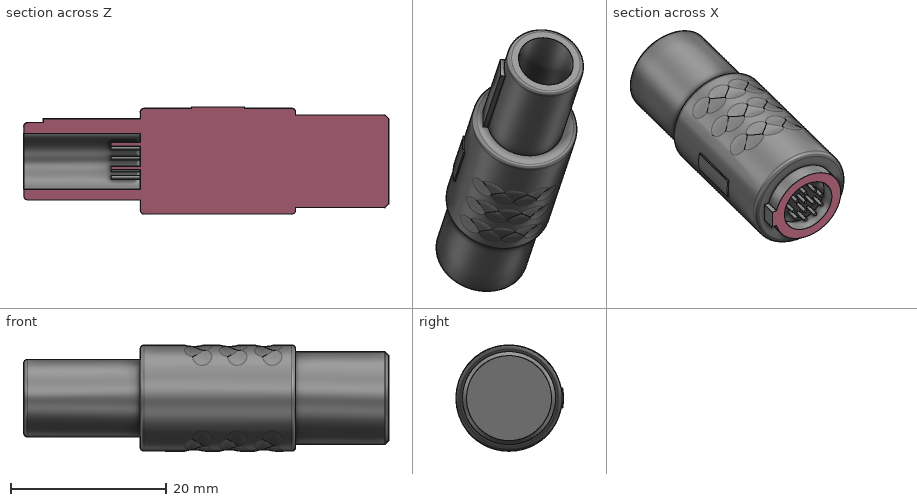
import cadquery as cq
import math


total_length = 47.0
nose_radius = 10.0 / 2
grip_radius = 13.7 / 2
tail_radius = 12.0 / 2
grip_start = 15.0
grip_end = 35.0
edge_rounding = 0.5
tail_chamfer = 0.5

key_start = 2.5
key_top = 5.5
key_width = 2.5
key_embed = 0.95

bore_radius = 3.55
bore_depth = grip_start
pin_radius = 0.25
pin_tip_rounding = 0.1
pin_length = 3.75
pin_root = 0.45
outer_pin_count = 9
outer_pin_circle = 2.2
inner_pin_count = 3
inner_pin_circle = 0.85

scoop_depth = 0.2
scoop_cutter_radius = 4.25
scoop_cutter_length = 4.7
scoop_pitch_angle = 25.6
scoop_group_start = 21.95
scoop_group_pitch = 4.5
scoop_group_count = 3
scoop_stagger = 1.05
front_column_angles = [scoop_pitch_angle * step for step in (-1, 0, 1)]
rear_column_angles = [scoop_pitch_angle * step for step in (-1.5, -0.5, 0.5, 1.5)]

pad_height = 0.2
pad_length = 6.85
pad_width = 2.6


def rod(radius, start, end, y=0.0, z=0.0):
    """Solid cylinder parallel to X between two X positions."""
    return cq.Workplane("YZ", origin=(start, y, z)).circle(radius).extrude(end - start)


def make_body():
    """Stepped round body with rounded nose and grip edges and a chamfered tail."""
    nose = rod(nose_radius, 0, grip_end).faces("<X").edges().fillet(edge_rounding)
    grip = rod(grip_radius, grip_start, grip_end).edges().fillet(edge_rounding)
    tail = rod(tail_radius, grip_start + edge_rounding, total_length)
    tail = tail.faces(">X").edges().chamfer(tail_chamfer)
    return nose.union(grip).union(tail)


def make_key():
    """Rectangular key running from near the nose tip into the grip."""
    key_length = grip_start + edge_rounding - key_start
    key_root = nose_radius - key_embed
    return cq.Workplane("XY").box(
        key_length, key_top - key_root, key_width, centered=(False, False, True)
    ).translate((key_start, key_root, 0))


def make_label_pad():
    """Low pad that follows the grip's curve."""
    middle = (grip_start + grip_end) / 2
    pad = rod(grip_radius + pad_height, middle - pad_length / 2, middle + pad_length / 2)
    window = cq.Workplane("XY").box(
        pad_length, grip_radius + pad_height, pad_width, centered=(True, False, True)
    ).translate((middle, 0, 0))
    return pad.intersect(window)


def make_scoop(x, angle):
    """Cutter lying across the grip; the angle is measured about X from the top."""
    axis_height = grip_radius - scoop_depth + scoop_cutter_radius
    cutter = (
        cq.Workplane("XZ", origin=(x, scoop_cutter_length / 2, axis_height))
        .circle(scoop_cutter_radius)
        .extrude(scoop_cutter_length)
    )
    return cutter.rotate((0, 0, 0), (1, 0, 0), angle)


def cut_scoops(body):
    """Cut groups of two staggered scoop columns, on the top and on the bottom."""
    for side_angle in (0, 180):
        for group in range(scoop_group_count):
            front_x = scoop_group_start + group * scoop_group_pitch
            for angle in front_column_angles:
                body = body.cut(make_scoop(front_x, side_angle + angle))
            for angle in rear_column_angles:
                body = body.cut(make_scoop(front_x + scoop_stagger, side_angle + angle))
    return body


def add_pin_ring(body, count, circle_radius, first_angle):
    """Add evenly spaced round-tipped pins on the bore floor; angles are measured from +Y."""
    for index in range(count):
        angle = math.radians(first_angle + index * 360 / count)
        y = circle_radius * math.cos(angle)
        z = circle_radius * math.sin(angle)
        pin = rod(pin_radius, bore_depth - pin_length, bore_depth + pin_root, y, z)
        body = body.union(pin.faces("<X").edges().fillet(pin_tip_rounding))
    return body


result = cut_scoops(make_body())
result = result.union(make_key()).union(make_label_pad())
result = result.cut(rod(bore_radius, 0, bore_depth))
result = add_pin_ring(result, outer_pin_count, outer_pin_circle, 0)
result = add_pin_ring(result, inner_pin_count, inner_pin_circle, 180)